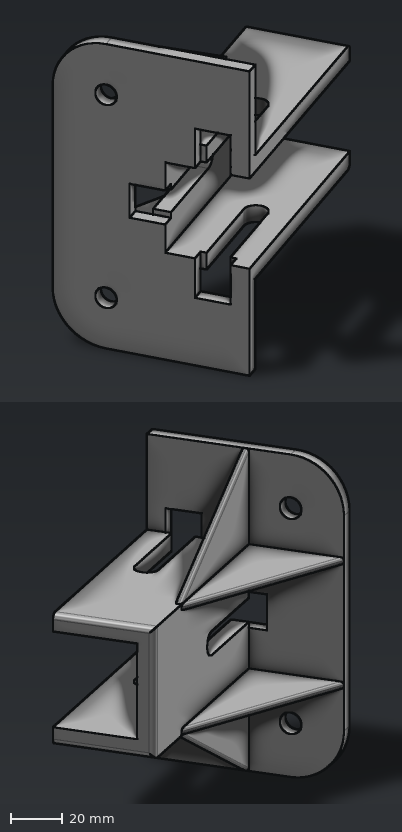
import cadquery as cq

plate_width = 83.0
plate_height = 135.0
plate_thickness = 6.0
corner_radius = 22.5
bolt_hole_diameter = 9.0

bore_height = 40.0
wall = 7.5
channel_width = 43.0
channel_length = 105.0
end_round = 2.5

slot_width = 10.0
slot_end = 50.0
window_width = 15.0
window_reach = 10.0
side_window_reach = 7.5

rib_thickness = 3.0
rib_end = 77.0
rib_round = 1.2

channel_left = plate_width - channel_width
bore_left = channel_left + wall
channel_height = bore_height + 2 * wall
half_channel = channel_height / 2
half_bore = bore_height / 2
half_plate = plate_height / 2
slot_x = bore_left + half_bore


def block(x_range, y_range, z_range):
    """Axis-aligned block between the given limits."""
    (x0, x1), (y0, y1), (z0, z1) = x_range, y_range, z_range
    return cq.Workplane("XY").box(x1 - x0, y1 - y0, z1 - z0, centered=False).translate((x0, y0, z0))


def mounting_plate():
    plate = block((0, plate_width), (0, plate_thickness), (-half_plate, half_plate))
    plate = plate.edges("|Y and <X").fillet(corner_radius)
    hole_height = half_plate - corner_radius
    for z in (-hole_height, hole_height):
        hole = cq.Workplane("XZ").center(corner_radius, z).circle(bolt_hole_diameter / 2)
        plate = plate.cut(hole.extrude(-plate_thickness))
    return plate


def channel_body():
    """Outer block of the channel, rounded around its far end."""
    body = block((channel_left, plate_width), (0, channel_length), (-half_channel, half_channel))
    return body.faces(">Y").edges("<X or >Z or <Z").fillet(end_round)


def rib(plane, outline, offset):
    """Triangular rib, extruded from the offset, with its sloping edges rounded."""
    blade = cq.Workplane(plane).workplane(offset=offset).polyline(outline).close().extrude(rib_thickness)
    slope_start, slope_end = outline[0], outline[1]
    middle_u = (slope_start[0] + slope_end[0]) / 2
    middle_v = (slope_start[1] + slope_end[1]) / 2
    for side in (offset, offset + rib_thickness):
        middle = (middle_u, middle_v, side) if plane == "XY" else (side, middle_u, middle_v)
        blade = blade.edges(cq.selectors.NearestToPointSelector(middle)).fillet(rib_round)
    return blade


def side_rib():
    """Upper rib between the plate and the closed side of the channel."""
    outline = [
        (0, plate_thickness),
        (channel_left, rib_end),
        (bore_left, rib_end),
        (bore_left, plate_thickness),
    ]
    return rib("XY", outline, half_channel - rib_thickness)


def top_rib():
    """Rib between the plate and the top of the channel."""
    outline = [
        (plate_thickness, half_plate),
        (rib_end, half_channel),
        (rib_end, half_bore),
        (plate_thickness, half_bore),
    ]
    return rib("YZ", outline, channel_left)


def bore():
    return block((bore_left, plate_width), (0, channel_length), (-half_bore, half_bore))


def wall_slots():
    """Round-ended slots through the upper, lower and side walls, open to the plate windows."""
    radius = slot_width / 2
    centre = slot_end - radius
    upright = block((slot_x - radius, slot_x + radius), (0, centre), (-half_channel, half_channel))
    upright_tip = cq.Workplane("XY").center(slot_x, centre).circle(radius).extrude(half_channel, both=True)
    side = block((channel_left, bore_left), (0, centre), (-radius, radius))
    side_tip = cq.Workplane("YZ").workplane(offset=channel_left).center(centre, 0).circle(radius).extrude(wall)
    return upright.union(upright_tip).union(side).union(side_tip)


def plate_windows():
    """Rectangular windows through the plate in front of each slot."""
    half_width = window_width / 2
    half_span = half_channel + window_reach
    depth = (0, plate_thickness)
    upright = block((slot_x - half_width, slot_x + half_width), depth, (-half_span, half_span))
    side = block((channel_left - side_window_reach, bore_left), depth, (-half_width, half_width))
    return upright.union(side)


result = mounting_plate().union(channel_body())
for feature in (side_rib(), top_rib()):
    result = result.union(feature).union(feature.mirror("XY"))
result = result.cut(bore()).cut(wall_slots()).cut(plate_windows())